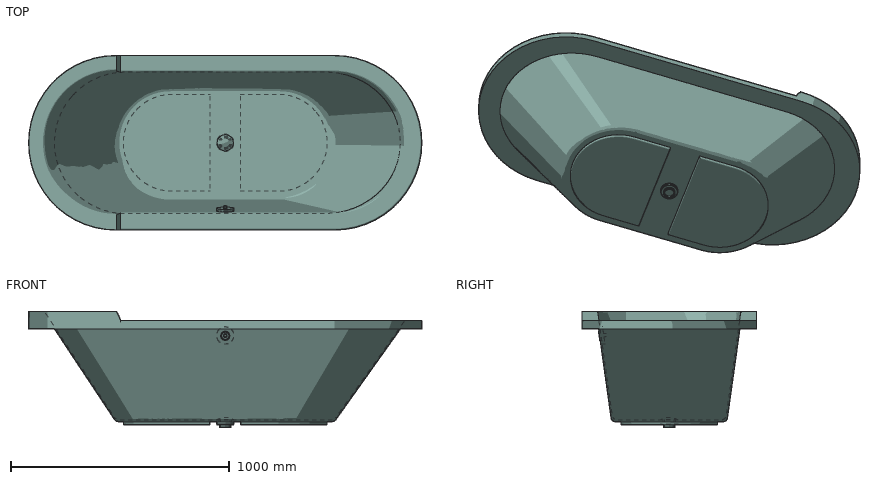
import cadquery as cq
import math

length = 1800.0
width = 800.0
low_rim_top = 490.0
high_rim_top = 531.0
rim_bottom = 450.0
rim_outer_round = 5.0
rim_inner_round = 9.0

wall_thickness = 7.0
base_level = 25.0
foot_level = 41.0
foot_centre = 245.0
foot_radius = 266.0
side_slope = 0.14
outer_base_round = 22.0
floor_thickness = 7.0
floor_round = 27.0

step_crest = -499.0
step_foot = -479.0
step_bulge = 2.0

pad_bottom = 10.0
pad_radius = 221.0
pad_gap = 140.0
pad_round = 5.0

cut_margin = 18.0

flange_diameter = 80.0
flange_lower_diameter = 74.0
flange_straight = 9.0
neck_diameter = 60.0
outlet_diameter = 52.0
plug_stem_diameter = 43.0
plug_diameter = 74.0
plug_rim = 4.0
plug_dome = 9.0

overflow_level = 420.0
cap_diameter = 80.0
cap_thickness = 13.0
knob_diameter = 15.0
knob_length = 10.0
spigot_diameter = 41.0
spigot_bore = 35.0
spigot_projection = 2.0

rim_radius = width / 2
rim_centre = length / 2 - rim_radius
floor_level = base_level + floor_thickness
head_slope = (rim_centre - foot_centre) / (high_rim_top - foot_level)
tail_slope = (rim_centre - foot_centre) / (low_rim_top - foot_level)


def stadium(level, head_centre, tail_centre, radius, tail_reach=None):
    """Two straight sides with a semicircular head end (-X) and tail end (+X).

    If a tail reach is given, the tail end is half an ellipse of that length instead.
    """
    outline = cq.Workplane("XY", origin=(0, 0, level)).moveTo(head_centre, -radius)
    outline = outline.lineTo(tail_centre, -radius)
    if tail_reach:
        outline = outline.ellipseArc(tail_reach, radius, -90, 90, startAtCurrent=True)
    else:
        outline = outline.threePointArc((tail_centre + radius, 0), (tail_centre, radius))
    outline = outline.lineTo(head_centre, radius)
    return outline.threePointArc((head_centre - radius, 0), (head_centre, -radius)).close()


def outer_outline(level):
    """Wire of the outer wall at a height; its tail end is slightly longer than a semicircle."""
    rise = level - foot_level
    centre = foot_centre + head_slope * rise
    radius = foot_radius + side_slope * rise
    tail_reach = radius + (tail_slope - head_slope) * rise
    return stadium(level, -centre, centre, radius, tail_reach).val()


def inner_outline(level):
    """Wire of the inner wall at a height; both ends are semicircles."""
    rise = level - foot_level
    head_centre = -(foot_centre + head_slope * rise)
    tail_centre = foot_centre + tail_slope * rise
    radius = foot_radius + side_slope * rise - wall_thickness
    return stadium(level, head_centre, tail_centre, radius).val()


def leaning_solid(outline, bottom, top, bottom_round):
    """Ruled solid between an outline at two heights, rounded along its lower edge."""
    body = cq.Solid.makeLoft([outline(bottom), outline(top)], True)
    return cq.Workplane(body).faces("<Z").edges().fillet(bottom_round)


def head_region():
    """Space of the raised head end, bounded by the curved step."""
    middle = ((step_crest + step_foot) / 2 + step_bulge, (low_rim_top + high_rim_top) / 2)
    return (
        cq.Workplane("XZ", origin=(0, width, 0))
        .moveTo(-length, rim_bottom)
        .lineTo(step_foot, rim_bottom)
        .lineTo(step_foot, low_rim_top)
        .threePointArc(middle, (step_crest, high_rim_top))
        .lineTo(-length, high_rim_top)
        .close()
        .extrude(2 * width)
    )


def make_pads():
    pads = stadium(pad_bottom, -foot_centre, foot_centre, pad_radius).extrude(base_level - pad_bottom)
    pads = pads.cut(cq.Workplane("XY").box(pad_gap, width, 2 * low_rim_top))
    return pads.faces("<Z").edges().fillet(pad_round)


def round_bar(diameter, bottom, top):
    return cq.Workplane("XY", origin=(0, 0, bottom)).circle(diameter / 2).extrude(top - bottom)


lean = math.atan(side_slope)
overflow_y = -(foot_radius - wall_thickness + side_slope * (overflow_level - foot_level))
overflow_plane = cq.Plane(
    origin=(0, overflow_y, overflow_level), xDir=(1, 0, 0), normal=(0, math.cos(lean), math.sin(lean))
)
spigot_length = wall_thickness * math.cos(lean) + spigot_projection


def make_basin(rim_top, outer_round, walls, cavity):
    """Hollow basin whose rim is level all round."""
    rim = stadium(rim_bottom, -rim_centre, rim_centre, rim_radius).extrude(rim_top - rim_bottom)
    if outer_round:
        rim = rim.faces(">Z").edges().fillet(outer_round)
    basin = rim.union(walls).cut(cavity)
    return basin.faces(">Z").wires(cq.selectors.AreaNthSelector(0)).fillet(rim_inner_round)


def make_tub():
    walls = leaning_solid(outer_outline, base_level, rim_bottom, outer_base_round)
    cavity = leaning_solid(inner_outline, floor_level, high_rim_top + cut_margin, floor_round)
    region = head_region()
    head = make_basin(high_rim_top, 0, walls, cavity).intersect(region)
    low_part = make_basin(low_rim_top, rim_outer_round, walls, cavity).cut(region)
    tub = low_part.union(head).union(make_pads())
    tub = tub.cut(round_bar(neck_diameter, base_level - cut_margin, floor_level + cut_margin))
    overflow_hole = cq.Workplane(overflow_plane).circle(spigot_diameter / 2).extrude(cut_margin, both=True)
    return tub.cut(overflow_hole)


def make_waste():
    outline = [
        (plug_stem_diameter / 2, 0),
        (outlet_diameter / 2, 0),
        (outlet_diameter / 2, pad_bottom),
        (flange_lower_diameter / 2, pad_bottom),
        (flange_diameter / 2, base_level - flange_straight),
        (flange_diameter / 2, base_level),
        (neck_diameter / 2, base_level),
        (neck_diameter / 2, floor_level),
        (plug_stem_diameter / 2, floor_level),
    ]
    return cq.Workplane("XZ").polyline(outline).close().revolve(360, (0, 0, 0), (0, 1, 0))


def make_plug():
    edge_level = floor_level + plug_rim
    crown = edge_level + plug_dome
    dome_radius = ((plug_diameter / 2) ** 2 + plug_dome**2) / (2 * plug_dome)
    half_angle = math.asin(plug_diameter / 2 / dome_radius) / 2
    middle = (dome_radius * math.sin(half_angle), crown - dome_radius * (1 - math.cos(half_angle)))
    cap = (
        cq.Workplane("XZ")
        .moveTo(0, floor_level)
        .lineTo(plug_diameter / 2, floor_level)
        .lineTo(plug_diameter / 2, edge_level)
        .threePointArc(middle, (0, crown))
        .close()
        .revolve(360, (0, 0, 0), (0, 1, 0))
    )
    return cap.union(round_bar(plug_stem_diameter, pad_bottom, floor_level))


def make_overflow():
    axis = cq.Workplane(overflow_plane)
    cap = axis.circle(cap_diameter / 2).extrude(cap_thickness)
    knob = axis.circle(knob_diameter / 2).extrude(cap_thickness + knob_length)
    spigot = axis.circle(spigot_diameter / 2).circle(spigot_bore / 2).extrude(-spigot_length)
    spindle = axis.circle(knob_diameter / 2).extrude(-spigot_length)
    return cap.union(knob).union(spigot).union(spindle)


tub = make_tub()
waste = make_waste()
plug = make_plug()
overflow = make_overflow()

result = cq.Compound.makeCompound([tub.val(), waste.val(), plug.val(), overflow.val()])